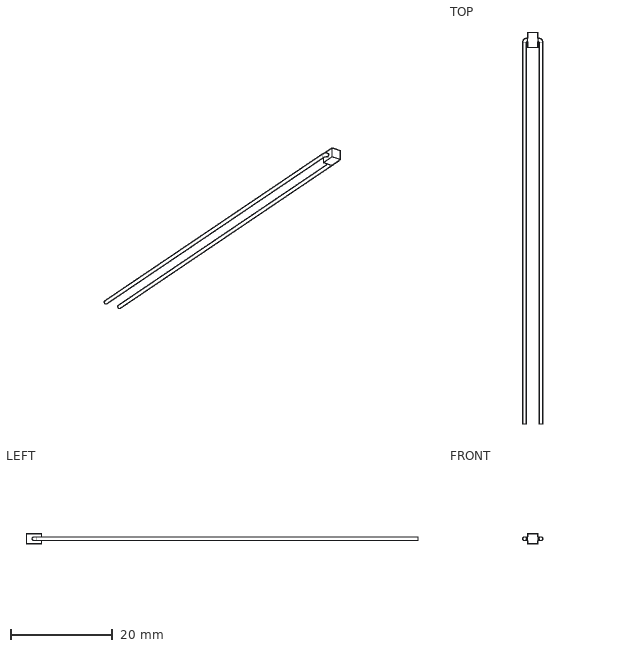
import cadquery as cq

overall_width = 4.0
overall_length = 77.0

body_width = 2.0
body_length = 3.0
body_height = 2.0

wire_diameter = 0.75
bend_radius = 0.5

body_back = overall_length / 2
body_center_y = body_back - body_length / 2
wire_end_y = -overall_length / 2
wire_x = (overall_width - wire_diameter) / 2


def right_lead():
    """Lead that leaves the body sideways, then bends to run along -Y."""
    bend_start_x = wire_x - bend_radius
    bend_end_y = body_center_y - bend_radius
    path = (
        cq.Workplane("XY")
        .moveTo(0, body_center_y)
        .lineTo(bend_start_x, body_center_y)
        .tangentArcPoint((wire_x, bend_end_y), relative=False)
        .lineTo(wire_x, wire_end_y)
    )
    return (
        cq.Workplane("YZ")
        .center(body_center_y, 0)
        .circle(wire_diameter / 2)
        .sweep(path)
    )


body = (
    cq.Workplane("XY")
    .box(body_width, body_length, body_height)
    .translate((0, body_center_y, 0))
)
lead = right_lead()

result = body.union(lead).union(lead.mirror("YZ"))